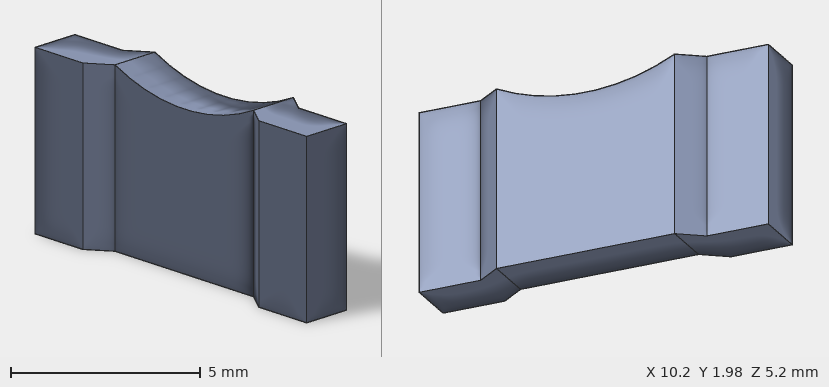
import cadquery as cq

length = 10.2
height = 5.2
thickness = 1.48
offset = 0.5

core_length = 5.2
tab_length = 1.8
saddle_depth = 0.6

half_length = length / 2
half_core = core_length / 2
bend_x = half_length - tab_length
tab_front = -(thickness + offset) / 2
tab_back = tab_front + thickness
core_front = tab_front + offset
core_back = core_front + thickness


def make_core():
    """Centre block with a shallow concave arc across its top."""
    return (
        cq.Workplane("XZ", origin=(0, core_back, 0))
        .moveTo(-half_core, 0)
        .lineTo(half_core, 0)
        .lineTo(half_core, height)
        .threePointArc((0, height - saddle_depth), (-half_core, height))
        .close()
        .extrude(thickness)
    )


def make_end_piece(side):
    """Straight tab with a slanted part meeting the core; side is -1 or +1 along X."""
    outline = [
        (side * half_core, core_front),
        (side * bend_x, tab_front),
        (side * half_length, tab_front),
        (side * half_length, tab_back),
        (side * bend_x, tab_back),
        (side * half_core, core_back),
    ]
    return cq.Workplane("XY").polyline(outline).close().extrude(height)


core = make_core()
end_pieces = [make_end_piece(side) for side in (-1, 1)]

result = cq.Compound.makeCompound([core.val(), *[piece.val() for piece in end_pieces]])